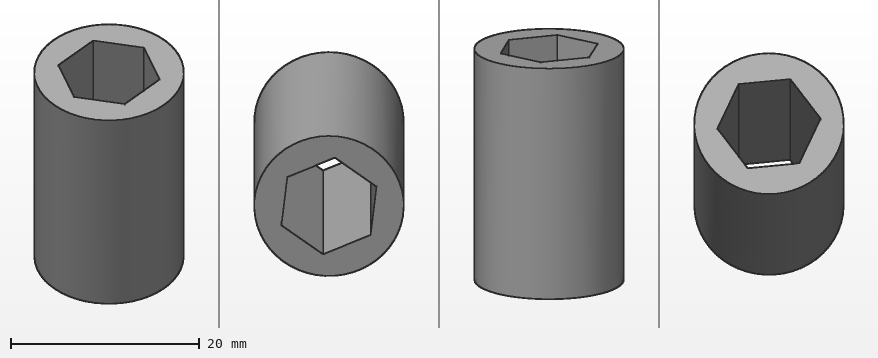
import cadquery as cq
import math

length = 25.4
outer_diameter = 15.88
hex_across_flats = 9.52

hex_across_corners = hex_across_flats / math.cos(math.pi / 6)

sleeve = cq.Workplane("XY").circle(outer_diameter / 2).extrude(length)
bore = cq.Workplane("XY").polygon(6, hex_across_corners).extrude(length)

result = sleeve.cut(bore)